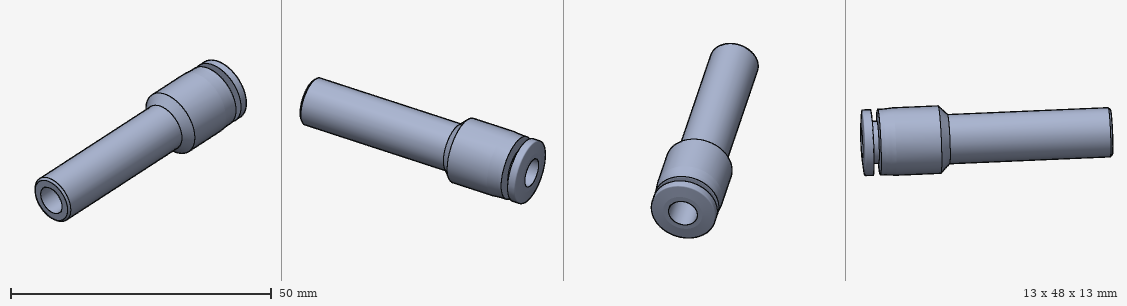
import cadquery as cq

length = 48.0

bore_radius = 2.85
tube_radius = 4.75
body_radius = 6.505
collar_radius = 6.35
neck_radius = 4.1
face_flat_radius = 3.85

flange_end = 1.9
collar_start = 3.05
taper_start = 4.2
taper_end = 6.25
body_end = 14.95

tube_chamfer = 0.45
face_drop = 0.3
collar_drop = 0.15
rim_round = 0.25
collar_chamfer_width = 0.25
collar_chamfer_length = 0.1
rim_search_margin = 0.05

shoulder_end = body_end + body_radius - tube_radius


def turned(points):
    """Revolve a half outline of (radius, distance from the +Y end) about Y."""
    outline = [(radius, length / 2 - distance) for radius, distance in points]
    return cq.Workplane("XY").polyline(outline).close().revolve(360, (0, 0, 0), (0, 1, 0))


def make_release_button():
    """Flange with a shallow conical face and rounded rim, on a narrower neck."""
    flange = turned([
        (0, 0),
        (face_flat_radius, 0),
        (collar_radius, face_drop),
        (collar_radius, flange_end),
        (0, flange_end),
    ])
    rim = cq.selectors.BoxSelector(
        (-length, length / 2 - face_drop - rim_search_margin, -length),
        (length, length / 2 - face_drop + rim_search_margin, length),
        boundingbox=True,
    )
    flange = flange.edges(rim).fillet(rim_round)
    neck = turned([
        (0, flange_end),
        (neck_radius, flange_end),
        (neck_radius, collar_start),
        (0, collar_start),
    ])
    return flange.union(neck)


def make_body():
    """Collar, tapered transition, main barrel, shoulder and chamfered tube."""
    return turned([
        (0, collar_start),
        (neck_radius, collar_start),
        (collar_radius - collar_chamfer_width, collar_start + collar_drop),
        (collar_radius, collar_start + collar_drop + collar_chamfer_length),
        (collar_radius, taper_start),
        (body_radius, taper_end),
        (body_radius, body_end),
        (tube_radius, shoulder_end),
        (tube_radius, length - tube_chamfer),
        (tube_radius - tube_chamfer, length),
        (0, length),
    ])


bore = turned([
    (0, 0),
    (bore_radius, 0),
    (bore_radius, length),
    (0, length),
])

result = make_release_button().union(make_body()).cut(bore)